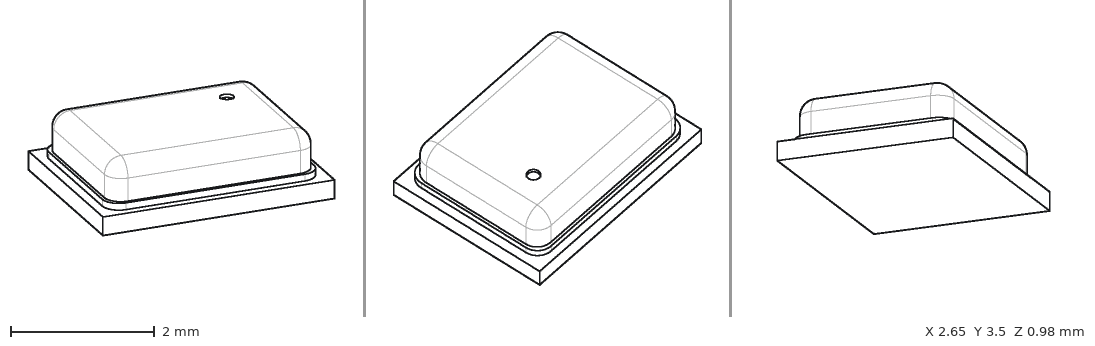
import cadquery as cq

board_width = 2.65
board_length = 3.5
board_thickness = 0.28

total_height = 0.98
lid_height = total_height - board_thickness
cap_width = 2.3
cap_length = 3.1
flange_overhang = 0.05
flange_thickness = 0.1
corner_radius = 0.25

port_diameter = 0.2
port_depth = 0.05
port_x = -0.5
port_y = 0.9


def make_board():
    """Flat rectangular board resting on Z = 0."""
    return cq.Workplane("XY").box(
        board_width, board_length, board_thickness, centered=(True, True, False)
    )


def rounded_block(width, length, height):
    """Block standing on the board, with rounded vertical edges."""
    return (
        cq.Workplane("XY")
        .workplane(offset=board_thickness)
        .rect(width, length)
        .extrude(height)
        .edges("|Z")
        .fillet(corner_radius)
    )


def make_lid():
    """Cap with a rounded top rim, a flange around its foot and a port."""
    cap = rounded_block(cap_width, cap_length, lid_height)
    cap = cap.faces(">Z").edges().fillet(corner_radius)
    flange = rounded_block(
        cap_width + 2 * flange_overhang,
        cap_length + 2 * flange_overhang,
        flange_thickness,
    )
    port = (
        cq.Workplane("XY")
        .workplane(offset=total_height - port_depth)
        .center(port_x, port_y)
        .circle(port_diameter / 2)
        .extrude(port_depth)
    )
    return cap.union(flange).cut(port)


board = make_board()
lid = make_lid()

result = cq.Compound.makeCompound([board.val(), *lid.solids().vals()])